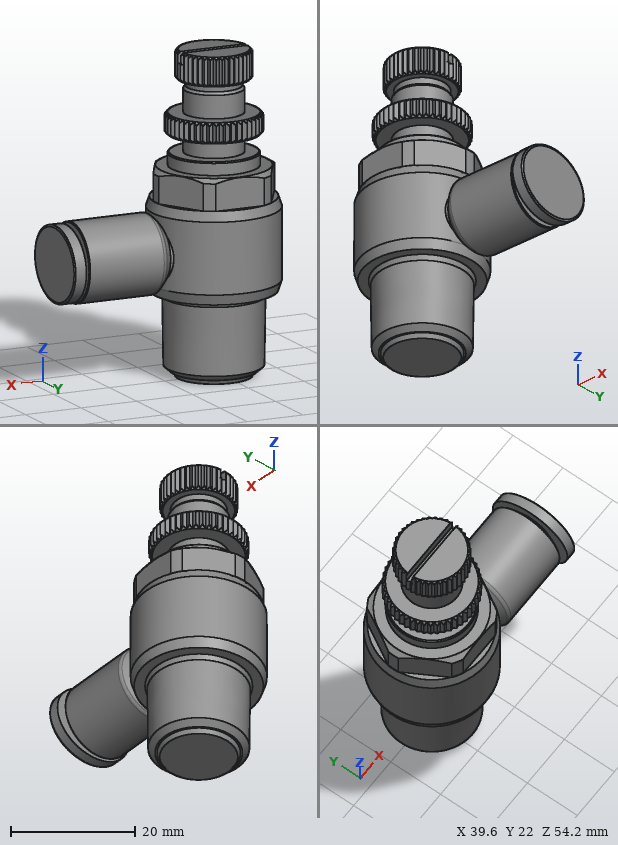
import cadquery as cq
import math


total_height = 54.2
tip_top = 0.8
lead_in_top = 1.8
thread_top = 13.3
body_bottom = 14.2
body_lower_chamfer_top = 16.0
body_upper_chamfer_bottom = 28.1
body_top = 29.75
hex_top = 34.95
collar_top = 37.2
wheel_bottom = 40.2
wheel_top = 43.75
stem_shoulder_bottom = 47.65
neck_bottom = 48.15
knob_bottom = 49.25

tip_radius = 6.3
tip_ledge_inner_radius = 6.7
tip_ledge_outer_radius = 7.05
thread_small_radius = 8.2
thread_large_radius = 8.35
thread_collar_radius = 8.65
body_radius = 11.0
body_end_radius = 10.4

hex_across_flats = 19.0
hex_corner_radius = 10.45
hex_top_radius = 9.45
hex_chamfer_height = 0.65

collar_radius = 7.5
collar_chamfer = 0.2
stem_radius = 5.0
neck_radius = 4.6

wheel_radius = 8.0
wheel_root_radius = 7.5
wheel_teeth = 46
knob_radius = 6.3
knob_root_radius = 5.8
knob_teeth = 40
slot_width = 1.1
slot_depth = 1.95

port_height = 21.45
port_neck_radius = 5.15
sleeve_radius = 6.7
sleeve_shoulder_x = 11.85
sleeve_shoulder_fillet = 0.9
sleeve_end_x = 25.65
sleeve_end_chamfer = 0.15
groove_radius = 4.75
release_ring_x = 26.55
port_end_x = 28.6
release_ring_half_width = 7.5
release_ring_half_height = 6.45
release_ring_chamfer_length = 0.3
release_ring_chamfer_inset = 0.15


def turned(profile):
    """Solid of revolution about Z from (radius, height) points."""
    closed = [(0, profile[0][1])] + profile + [(0, profile[-1][1])]
    return cq.Workplane("XZ").polyline(closed).close().revolve(360, (0, 0), (0, 1))


def knurled_disc(tip, root, teeth, bottom, top, first_tooth_angle):
    """Disc with triangular teeth, bevelled at 45 degrees down to the tooth roots."""
    half_pitch = math.pi / teeth
    outline = []
    for i in range(2 * teeth):
        radius = tip if i % 2 == 0 else root
        angle = first_tooth_angle + i * half_pitch
        outline.append((radius * math.cos(angle), radius * math.sin(angle)))
    toothed = cq.Workplane("XY").workplane(offset=bottom).polyline(outline).close().extrude(top - bottom)
    bevel = tip - root
    envelope = turned([(root, bottom), (tip, bottom + bevel), (tip, top - bevel), (root, top)])
    return toothed.intersect(envelope)


column = turned([
    (tip_radius, 0),
    (tip_ledge_inner_radius, tip_top),
    (tip_ledge_outer_radius, tip_top),
    (thread_small_radius, lead_in_top),
    (thread_large_radius, thread_top),
    (thread_collar_radius, body_bottom),
    (body_end_radius, body_bottom),
    (body_radius, body_lower_chamfer_top),
    (body_radius, body_upper_chamfer_bottom),
    (body_end_radius, body_top),
    (collar_radius, body_top),
    (collar_radius, collar_top - collar_chamfer),
    (collar_radius - collar_chamfer, collar_top),
    (stem_radius, collar_top),
    (stem_radius, stem_shoulder_bottom),
    (neck_radius, neck_bottom),
    (neck_radius, knob_bottom),
])

hexagon = (
    cq.Workplane("XY")
    .workplane(offset=body_top)
    .polygon(6, hex_across_flats / math.cos(math.pi / 6))
    .extrude(hex_top - body_top)
)
hexagon = hexagon.intersect(turned([
    (hex_corner_radius, body_top),
    (hex_corner_radius, hex_top - hex_chamfer_height),
    (hex_top_radius, hex_top),
]))

wheel = knurled_disc(
    wheel_radius, wheel_root_radius, wheel_teeth, wheel_bottom, wheel_top, math.pi / 2
)

knob = knurled_disc(
    knob_radius, knob_root_radius, knob_teeth, knob_bottom, total_height, math.pi / knob_teeth
)
slot = (
    cq.Workplane("XY")
    .workplane(offset=total_height - slot_depth)
    .rect(2 * knob_radius, slot_width)
    .extrude(slot_depth)
)
knob = knob.cut(slot)

cone_start_x = sleeve_shoulder_x - (sleeve_radius - port_neck_radius)
sleeve_core = (
    cq.Workplane("XZ")
    .polyline([
        (0, 0),
        (0, port_neck_radius),
        (cone_start_x, port_neck_radius),
        (sleeve_shoulder_x, sleeve_radius),
        (sleeve_end_x - sleeve_end_chamfer, sleeve_radius),
        (sleeve_end_x, sleeve_radius - sleeve_end_chamfer),
        (sleeve_end_x, groove_radius),
        (release_ring_x, groove_radius),
        (release_ring_x, 0),
    ])
    .close()
    .revolve(360, (0, 0), (1, 0))
)
selection_margin = 0.55
selection_half_side = 2 * sleeve_radius
shoulder_edge = cq.selectors.BoxSelector(
    (sleeve_shoulder_x - selection_margin, -selection_half_side, -selection_half_side),
    (sleeve_shoulder_x + selection_margin, selection_half_side, selection_half_side),
    boundingbox=True,
)
sleeve = sleeve_core.edges(shoulder_edge).fillet(sleeve_shoulder_fillet)

release_ring = (
    cq.Workplane("YZ")
    .workplane(offset=release_ring_x)
    .ellipse(release_ring_half_width, release_ring_half_height)
    .extrude(port_end_x - release_ring_x)
    .faces(">X")
    .chamfer(release_ring_chamfer_inset, release_ring_chamfer_length)
)

port = sleeve.union(release_ring).translate((0, 0, port_height))

result = column.union(hexagon).union(wheel).union(knob).union(port)